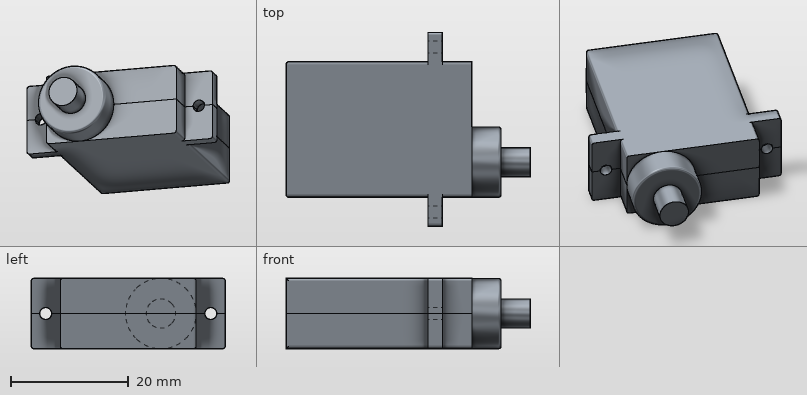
import cadquery as cq

total_length = 41.5
case_length = 31.55
case_width = 23.07
case_height = 12.0
edge_radius = 0.5

ear_span = 33.0
ear_start = 24.05
ear_thickness = 2.5
ear_hole_diameter = 2.0
ear_hole_y = (case_width + ear_span) / 4

collar_diameter = case_height
collar_length = (total_length - case_length) / 2
shaft_diameter = 5.0
shaft_y = (collar_diameter - case_width) / 2


def block(start_x, length, width):
    """Box of full case height, centred on Y and Z."""
    return (
        cq.Workplane("XY")
        .box(length, width, case_height, centered=(False, True, True))
        .translate((start_x, 0, 0))
    )


def make_case():
    """Whole case with its ears, before it is parted into two halves."""
    case = block(0, case_length, case_width).edges("|X or (|Z and <X)").fillet(edge_radius)
    ears = block(ear_start, ear_thickness, ear_span).edges("|X").fillet(edge_radius)
    holes = (
        cq.Workplane("YZ", origin=(ear_start, 0, 0))
        .pushPoints([(-ear_hole_y, 0), (ear_hole_y, 0)])
        .circle(ear_hole_diameter / 2)
        .extrude(ear_thickness)
    )
    return case.union(ears).cut(holes)


def make_case_half(side):
    """Half of the case: side = 1 above the parting plane, -1 below it."""
    half_space = block(0, case_length, ear_span).translate((0, 0, side * case_height / 2))
    return make_case().intersect(half_space)


def make_output():
    """Collar with a rounded rim, carrying the output shaft."""
    collar = (
        cq.Workplane("YZ", origin=(case_length, shaft_y, 0))
        .circle(collar_diameter / 2)
        .extrude(collar_length)
        .faces(">X")
        .edges()
        .fillet(edge_radius)
    )
    shaft = (
        cq.Workplane("YZ", origin=(case_length + collar_length, shaft_y, 0))
        .circle(shaft_diameter / 2)
        .extrude(total_length - case_length - collar_length)
    )
    return collar.union(shaft)


upper_case, lower_case = [make_case_half(side) for side in (1, -1)]
output = make_output()

result = cq.Compound.makeCompound([upper_case.val(), lower_case.val(), output.val()])